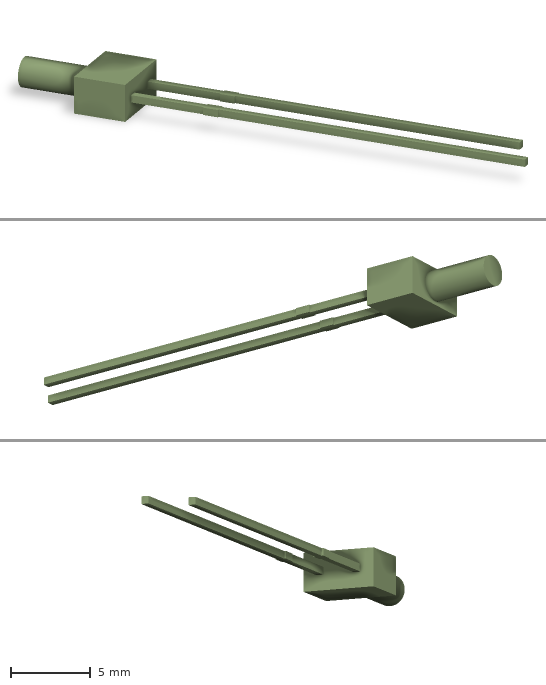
import cadquery as cq

total_length = 35.0

lens_length = 4.48
lens_diameter = 2.0

body_length = 3.5
body_width = 4.8
body_height = 2.5

lead_thickness = 0.5
lead_pitch = 2.55
short_lead_cutback = 1.5

collar_gap = 5.0
collar_length = 1.0
collar_width = 0.7

body_end = lens_length + body_length
long_lead_length = total_length - body_end
short_lead_length = long_lead_length - short_lead_cutback


def bar(start, length, width, height, y=0.0):
    """Rectangular bar along X, centred on the given Y and on Z = 0."""
    block = cq.Workplane("XY").box(length, width, height, centered=(False, True, True))
    return block.translate((start, y, 0))


def make_lead(y, length):
    """Square lead with its stop collar."""
    wire = bar(body_end, length, lead_thickness, lead_thickness, y)
    collar = bar(body_end + collar_gap, collar_length, collar_width, lead_thickness, y)
    return wire.union(collar)


lens = cq.Workplane("YZ").circle(lens_diameter / 2).extrude(lens_length)
body = bar(lens_length, body_length, body_width, body_height)
long_lead = make_lead(-lead_pitch / 2, long_lead_length)
short_lead = make_lead(lead_pitch / 2, short_lead_length)

result = body.union(lens).union(long_lead).union(short_lead)